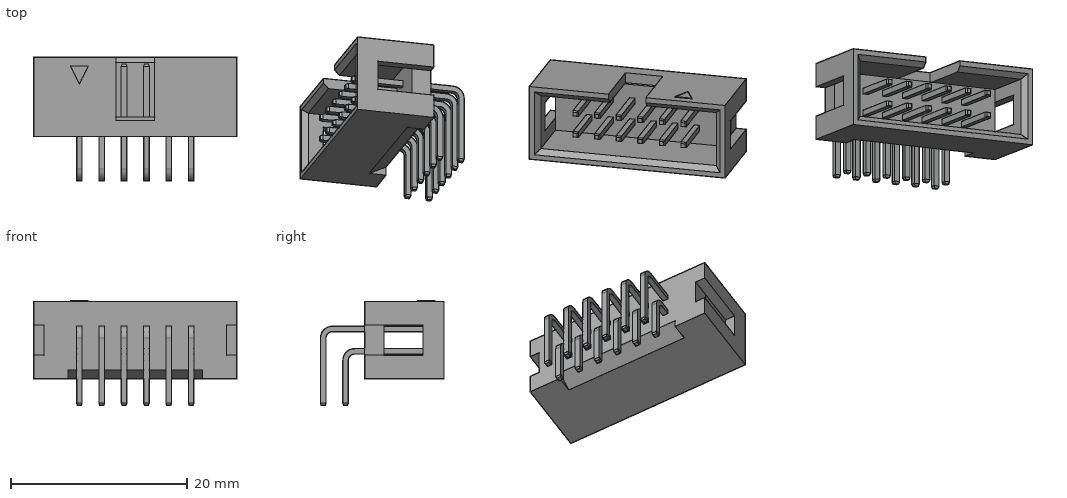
import cadquery as cq

body_width = 23.05
body_depth = 9.0
body_height = 8.8
wall = 1.2
cavity_floor = 2.21
lead_in = wall / 2
mid_height = body_height / 2

notch_width = 4.38
notch_end = 1.8

slot_height = 3.4
slot_depth = 6.61

relief_width = 15.23
relief_height = 1.0
relief_depth = 2.0

pins_per_row = 6
pitch = 2.53
pin_size = 0.65
inner_bend = 0.71
bend_radius = inner_bend + pin_size / 2
pin_front = 8.2
pin_bottom = -3.0
upper_tail = -4.7
tip_length = 0.28
tip_inset = 0.1

marker_size = 2.0
marker_base = 7.97
marker_height = 0.1


def centred_box(x_size, y_start, y_end, z_start, z_end):
    """Box centred on x = 0 between the given y and z limits."""
    box = cq.Workplane().box(x_size, y_end - y_start, z_end - z_start, centered=(True, False, False))
    return box.translate((0, y_start, z_start))


def make_cavity():
    """Open mating cavity with a lead-in flare around its mouth."""
    width = body_width - 2 * wall
    height = body_height - 2 * wall
    cavity = centred_box(width, cavity_floor, body_depth, wall, body_height - wall)
    flare = (
        cq.Workplane("XZ", origin=(0, body_depth - lead_in, mid_height))
        .rect(width, height)
        .workplane(offset=-lead_in)
        .rect(width + 2 * lead_in, height + 2 * lead_in)
        .loft(ruled=True)
    )
    return cavity.union(flare)


def make_relief():
    """Wedge that rises from the underside towards the rear face."""
    profile = [(0, 0), (relief_depth, 0), (0, relief_height)]
    return cq.Workplane("YZ").polyline(profile).close().extrude(relief_width / 2, both=True)


def make_shroud():
    """Hollow shroud with its notch, end slots and rear relief."""
    shroud = centred_box(body_width, 0, body_depth, 0, body_height)
    shroud = shroud.cut(make_cavity())
    shroud = shroud.cut(centred_box(notch_width, notch_end, body_depth, body_height - wall, body_height))
    slot = centred_box(2 * wall, 0, slot_depth, mid_height - slot_height / 2, mid_height + slot_height / 2)
    for side in (-1, 1):
        shroud = shroud.cut(slot.translate((side * body_width / 2, 0, 0)))
    return shroud.cut(make_relief())


def make_tip(direction, origin):
    """Tapered end that narrows along the given direction."""
    end_size = pin_size - 2 * tip_inset
    return (
        cq.Workplane(cq.Plane(origin=origin, xDir=(1, 0, 0), normal=direction))
        .rect(pin_size, pin_size)
        .workplane(offset=tip_length)
        .rect(end_size, end_size)
        .loft(ruled=True)
    )


def make_pin(x, y, z):
    """Bent pin with its horizontal leg at height z and its tail at depth y."""
    front = pin_front - tip_length
    bottom = pin_bottom + tip_length
    path = (
        cq.Workplane("YZ", origin=(x, 0, 0))
        .moveTo(front, z)
        .lineTo(y + bend_radius, z)
        .tangentArcPoint((y, z - bend_radius), relative=False)
        .lineTo(y, bottom)
    )
    pin = cq.Workplane("XZ", origin=(x, front, z)).rect(pin_size, pin_size).sweep(path)
    front_tip = make_tip((0, 1, 0), (x, front, z))
    tail_tip = make_tip((0, 0, -1), (x, y, bottom))
    return pin.union(front_tip).union(tail_tip)


def make_marker(x):
    """Triangle on the top face pointing towards the pin at x."""
    corners = [
        (x - marker_size / 2, marker_base),
        (x + marker_size / 2, marker_base),
        (x, marker_base - marker_size),
    ]
    return cq.Workplane("XY", origin=(0, 0, body_height)).polyline(corners).close().extrude(marker_height)


first_pin_x = -(pins_per_row - 1) / 2 * pitch

result = make_shroud().union(make_marker(first_pin_x))
for column in range(pins_per_row):
    pin_x = first_pin_x + column * pitch
    result = result.union(make_pin(pin_x, upper_tail, mid_height + pitch / 2))
    result = result.union(make_pin(pin_x, upper_tail + pitch, mid_height - pitch / 2))